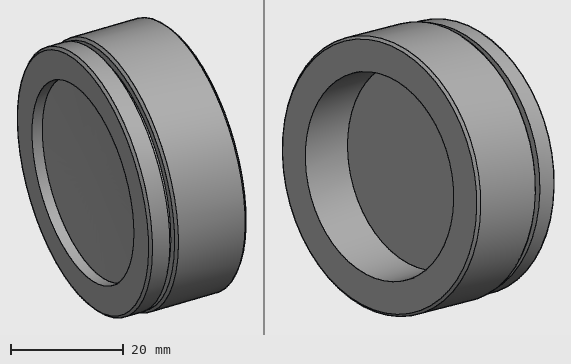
import cadquery as cq


housing_diameter = 50.8
housing_length = 14.5
edge_chamfer = 0.5

flange_diameter = 50.0
flange_length = 4.0
groove_width = 1.0
neck_diameter = 47.0
neck_engagement = 4.05
aperture_diameter = 38.0
lip_thickness = 2.1

lens_diameter = 40.65
lens_front_sag = 0.55

housing_front = flange_length + groove_width
housing_back = housing_front + housing_length
shoulder = housing_front + neck_engagement

housing_radius = housing_diameter / 2
flange_radius = flange_diameter / 2
neck_radius = neck_diameter / 2
aperture_radius = aperture_diameter / 2
lens_radius = lens_diameter / 2


def revolve_about_y(half_section):
    """Revolve a closed outline of (Y, radius) points about the Y axis."""
    return half_section.close().revolve(360, (0, 0, 0), (1, 0, 0))


def make_housing():
    """Chamfered sleeve with a front bore for the neck and a rear aperture."""
    return revolve_about_y(
        cq.Workplane("YZ")
        .moveTo(housing_front, neck_radius)
        .lineTo(housing_front, housing_radius - edge_chamfer)
        .lineTo(housing_front + edge_chamfer, housing_radius)
        .lineTo(housing_back - edge_chamfer, housing_radius)
        .lineTo(housing_back, housing_radius - edge_chamfer)
        .lineTo(housing_back, aperture_radius)
        .lineTo(shoulder, aperture_radius)
        .lineTo(shoulder, neck_radius)
    )


def make_retaining_ring():
    """Front flange and neck, with a lip around the aperture and a lens seat behind it."""
    return revolve_about_y(
        cq.Workplane("YZ")
        .moveTo(0, aperture_radius)
        .lineTo(0, flange_radius - edge_chamfer)
        .lineTo(edge_chamfer, flange_radius)
        .lineTo(flange_length, flange_radius)
        .lineTo(flange_length, neck_radius)
        .lineTo(shoulder, neck_radius)
        .lineTo(shoulder, lens_radius)
        .lineTo(lip_thickness, lens_radius)
        .lineTo(lip_thickness, aperture_radius)
    )


def make_lens():
    """Disc with a flat rim under the lip, a spherical hollow in front and a flat back."""
    sphere_radius = (aperture_radius**2 + lens_front_sag**2) / (2 * lens_front_sag)
    sphere_center = lip_thickness + lens_front_sag - sphere_radius
    mid_radius = aperture_radius / 2
    mid_depth = sphere_center + (sphere_radius**2 - mid_radius**2) ** 0.5
    return revolve_about_y(
        cq.Workplane("YZ")
        .moveTo(lip_thickness + lens_front_sag, 0)
        .threePointArc((mid_depth, mid_radius), (lip_thickness, aperture_radius))
        .lineTo(lip_thickness, lens_radius)
        .lineTo(shoulder, lens_radius)
        .lineTo(shoulder, 0)
    )


housing = make_housing()
retaining_ring = make_retaining_ring()
lens = make_lens()

result = cq.Compound.makeCompound([housing.val(), retaining_ring.val(), lens.val()])